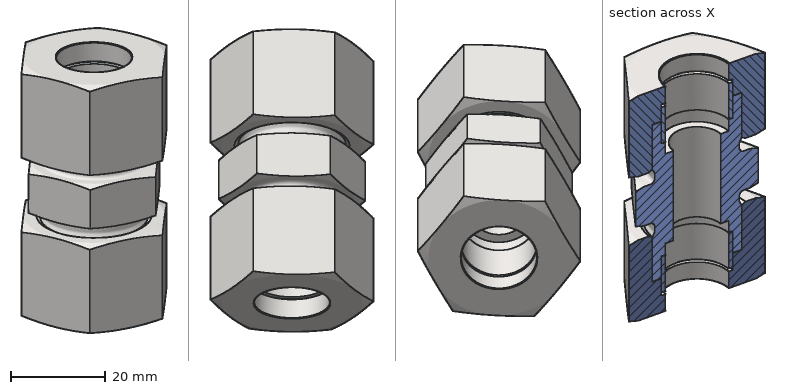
import cadquery as cq
import math


hex_sides = 6
hex_half_angle = 180 / hex_sides
total_length = 57.0
nut_length = 20.5
nut_across_flats = 30.0
body_across_flats = 27.0
body_hex_height = 10.05
hex_chamfer_angle = 15.0

bore_diameter = 12.0
tube_diameter = 16.0
tube_socket_depth = 8.55

thread_diameter = 22.8
thread_depth_in_nut = 11.95
relief_diameter = 21.7
relief_fillet = 0.95
relief_flat_end = 7.3
runout_angle = 30.0

nut_hole_chamfer = 0.15
nut_hole_depth = 4.4
nut_countersink_diameter = 24.5
nut_countersink_angle = 30.0

ring_outer_diameter = 18.2
ring_length = 9.1
ring_clearance = 0.6

nut_outer_end = total_length / 2
nut_inner_end = nut_outer_end - nut_length
hex_top = body_hex_height / 2
body_end = nut_inner_end + thread_depth_in_nut
ring_seat_end = nut_outer_end - nut_hole_depth
ring_outer_end = ring_seat_end - ring_clearance
ring_inner_end = ring_outer_end - ring_length
tube_stop = body_end - tube_socket_depth


def disc(diameter, bottom, top):
    """Cylinder on the Z axis between two heights."""
    return cq.Workplane("XY", origin=(0, 0, bottom)).circle(diameter / 2).extrude(top - bottom)


def frustum(bottom_diameter, top_diameter, bottom, top):
    """Cone section on the Z axis between two heights."""
    base = cq.Workplane("XY", origin=(0, 0, bottom)).circle(bottom_diameter / 2)
    return base.workplane(offset=top - bottom).circle(top_diameter / 2).loft()


def chamfered_hex(across_flats, bottom, top):
    """Hexagonal prism with corners on the Y axis, turned conically at both ends."""
    flat_radius = across_flats / 2
    corner_radius = flat_radius / math.cos(math.radians(hex_half_angle))
    corner_drop = (corner_radius - flat_radius) * math.tan(math.radians(hex_chamfer_angle))
    prism = (
        cq.Workplane("XY", origin=(0, 0, bottom))
        .polygon(hex_sides, 2 * corner_radius)
        .extrude(top - bottom)
        .rotate((0, 0, 0), (0, 0, 1), hex_half_angle)
    )
    envelope = (
        cq.Workplane("XZ")
        .moveTo(0, bottom)
        .lineTo(flat_radius, bottom)
        .lineTo(corner_radius, bottom + corner_drop)
        .lineTo(corner_radius, top - corner_drop)
        .lineTo(flat_radius, top)
        .lineTo(0, top)
        .close()
        .revolve(360, (0, 0, 0), (0, 1, 0))
    )
    return prism.intersect(envelope)


def make_threaded_end():
    """Upper stud of the body: rounded relief groove, conical run-out, then the thread cylinder."""
    thread_radius = thread_diameter / 2
    relief_radius = relief_diameter / 2
    fillet_center_radius = relief_radius + relief_fillet

    relief_flat_start = hex_top + relief_fillet
    foot_step = relief_fillet * math.sqrt(0.5)
    foot_middle = (fillet_center_radius - foot_step, relief_flat_start - foot_step)

    runout = math.radians(runout_angle)
    runout_middle = (
        fillet_center_radius - relief_fillet * math.cos(runout / 2),
        relief_flat_end + relief_fillet * math.sin(runout / 2),
    )
    runout_radius = fillet_center_radius - relief_fillet * math.cos(runout)
    runout_start = relief_flat_end + relief_fillet * math.sin(runout)
    thread_start = runout_start + (thread_radius - runout_radius) / math.tan(runout)

    return (
        cq.Workplane("XZ")
        .lineTo(fillet_center_radius, 0)
        .lineTo(fillet_center_radius, hex_top)
        .threePointArc(foot_middle, (relief_radius, relief_flat_start))
        .lineTo(relief_radius, relief_flat_end)
        .threePointArc(runout_middle, (runout_radius, runout_start))
        .lineTo(thread_radius, thread_start)
        .lineTo(thread_radius, body_end)
        .lineTo(0, body_end)
        .close()
        .revolve(360, (0, 0, 0), (0, 1, 0))
    )


def mirrored(upper):
    """The same shape on the lower end of the coupling."""
    return upper.mirror("XY")


def make_body():
    """Hexagon with a threaded stud, ring seat and tube socket at each end, bored through."""
    body = chamfered_hex(body_across_flats, -hex_top, hex_top)
    stud = make_threaded_end()
    socket = disc(tube_diameter, tube_stop, body_end)
    ring_seat = disc(ring_outer_diameter, ring_inner_end, body_end)
    body = body.union(stud).union(mirrored(stud))
    for cutter in (socket, ring_seat):
        body = body.cut(cutter).cut(mirrored(cutter))
    return body.cut(disc(bore_diameter, -body_end, body_end))


def make_nut():
    """Upper union nut, open towards the middle of the coupling."""
    hole_mouth_diameter = tube_diameter + 2 * nut_hole_chamfer
    countersink_width = (nut_countersink_diameter - thread_diameter) / 2
    countersink_depth = countersink_width * math.tan(math.radians(nut_countersink_angle))
    cutters = [
        disc(tube_diameter, nut_inner_end, nut_outer_end),
        frustum(tube_diameter, hole_mouth_diameter, nut_outer_end - nut_hole_chamfer, nut_outer_end),
        disc(ring_outer_diameter, nut_inner_end, ring_seat_end),
        disc(thread_diameter, nut_inner_end, body_end),
        frustum(nut_countersink_diameter, thread_diameter, nut_inner_end, nut_inner_end + countersink_depth),
    ]
    nut = chamfered_hex(nut_across_flats, nut_inner_end, nut_outer_end)
    for cutter in cutters:
        nut = nut.cut(cutter)
    return nut


def make_cutting_ring():
    """Upper cutting ring, a sleeve around the tube."""
    ring = disc(ring_outer_diameter, ring_inner_end, ring_outer_end)
    return ring.cut(disc(tube_diameter, ring_inner_end, ring_outer_end))


solids = [make_body().val()]
for make_part in (make_nut, make_cutting_ring):
    upper = make_part()
    for part in (upper, mirrored(upper)):
        solids.append(part.val())

result = cq.Compound.makeCompound(solids)